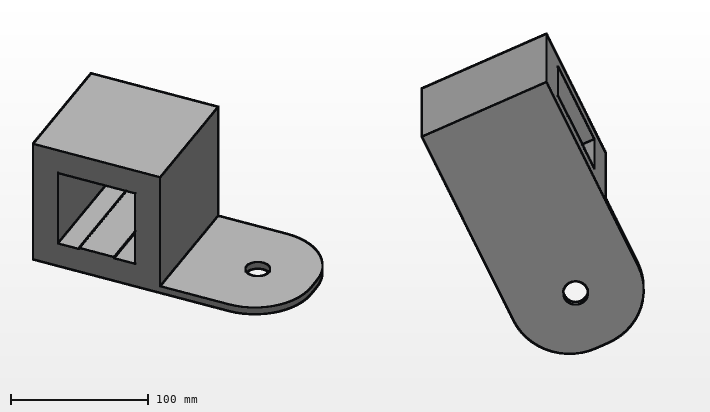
import cadquery as cq

total_length = 202.0
depth = 100.0
block_size = 102.0

wall = 20.0
tunnel_size = block_size - 2 * wall

pad_width = 28.0
pad_height = 1.0

tab_thickness = 6.0
corner_radius = 45.0
hole_diameter = 18.0
hole_x = total_length - corner_radius


def box_from_front(x, z, width, height):
    """Full-depth box with its lower left edge at (x, z), centred on Y."""
    return (
        cq.Workplane("XY")
        .box(width, depth, height, centered=(False, True, False))
        .translate((x, 0, z))
    )


def mounting_tab():
    """Flat tab under the block, with a rounded free end and one bolt hole."""
    plate = box_from_front(0, 0, total_length, tab_thickness)
    plate = plate.edges("|Z and >X").fillet(corner_radius)
    hole = cq.Workplane("XY").center(hole_x, 0).circle(hole_diameter / 2).extrude(tab_thickness)
    return plate.cut(hole)


block = box_from_front(0, 0, block_size, block_size)
tunnel = box_from_front(wall, wall, tunnel_size, tunnel_size)
pad = box_from_front((block_size - pad_width) / 2, wall, pad_width, pad_height)

result = block.cut(tunnel.cut(pad)).union(mounting_tab())